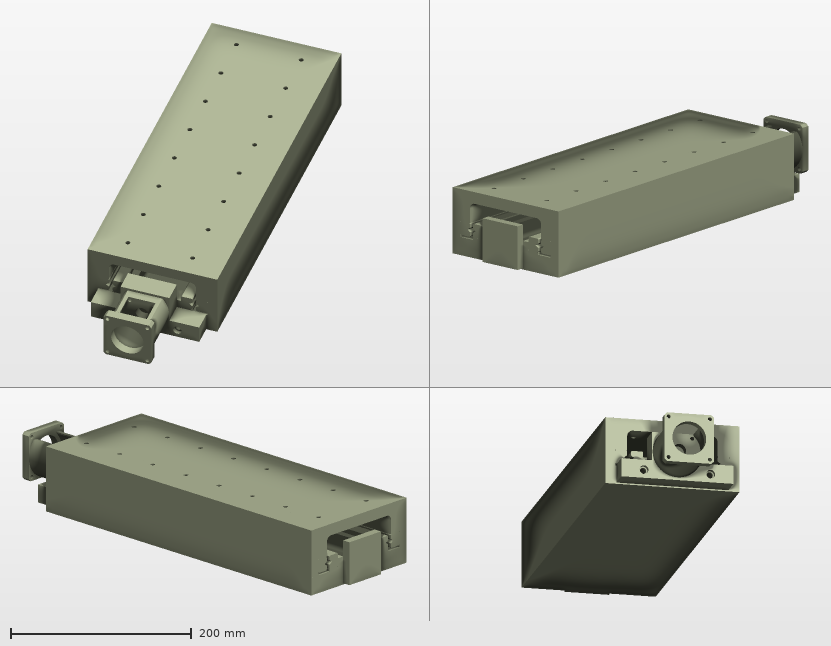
import cadquery as cq

total_length = 498.5
stage_width = 152.5
stage_height = 76.5
stage_length = 407.0
rear_block_depth = 9.5
rear_y = total_length - rear_block_depth
stage_y = rear_y - stage_length

base_height = 21.0
rail_seat_z = 23.5
spine_top_z = 33.0
trough_half_width = 25.0
trough_floor_z = 15.0
trough_fillet = 4.5

rail_top_z = 39.5
inner_rail_near_x = 33.5
inner_rail_far_x = 47.0
outer_rail_near_x = 51.5
outer_rail_far_x = 65.0
rail_mid_z = (rail_seat_z + rail_top_z) / 2
rail_groove_depth = 3.5
rail_groove_width = 5.0
rail_chamfer = 1.0

table_opening_top_z = 63.0
table_opening_fillet = 6.5
table_hole_diameter = 5.5
table_hole_rows = 8
table_hole_pitch = stage_length / table_hole_rows
table_hole_x = stage_width / 4

block_depth = 24.5
block_y = stage_y - block_depth
block_bottom_z = 1.5
foot_width = 127.5
foot_top_z = 22.5
housing_width = 57.5
housing_top_z = 55.5
foot_hole_x = 38.0
foot_hole_z = 11.0
foot_hole_diameter = 7.0
foot_counterbore_diameter = 10.0
foot_counterbore_depth = 5.0

axis_z = 33.0
flange_size = 56.5
flange_thickness = 10.0
flange_chamfer = 3.0
flange_hole_offset = 23.5
flange_hole_diameter = 4.5
barrel_flat_z = 52.5
bore_diameter = 38.5
chamber_diameter = 48.0
chamber_end_y = 48.0
window_width = 32.0
shaft_hole_diameter = 15.0
bracket_screw_offset = 14.5
bracket_screw_diameter = 4.5

rear_block_width = 50.5
rear_block_top_z = 52.0

SIDES = (-1, 1)


def box(x_min, x_max, y_min, y_max, z_min, z_max):
    """Box between two opposite corners."""
    size = (x_max - x_min, y_max - y_min, z_max - z_min)
    return cq.Workplane("XY").box(*size, centered=False).translate((x_min, y_min, z_min))


def centered_box(width, y_min, y_max, z_min, z_max):
    """Box centred on X = 0."""
    return box(-width / 2, width / 2, y_min, y_max, z_min, z_max)


def xz_plane(y):
    """Workplane at the given Y whose extrusions run toward +Y; its local axes are -X and Z."""
    return cq.Workplane(cq.Plane(origin=(0, y, 0), xDir=(-1, 0, 0), normal=(0, 1, 0)))


def cylinder(x, z, diameter, y_min, y_max):
    """Cylinder along Y."""
    return xz_plane(y_min).center(-x, z).circle(diameter / 2).extrude(y_max - y_min)


def make_base():
    slab = centered_box(stage_width, stage_y, rear_y, 0, base_height)
    seats = centered_box(2 * inner_rail_far_x, stage_y, rear_y, base_height, rail_seat_z)
    spine = centered_box(2 * inner_rail_near_x, stage_y, rear_y, rail_seat_z, spine_top_z)
    trough = centered_box(2 * trough_half_width, stage_y, rear_y, trough_floor_z, spine_top_z)
    trough = trough.edges("|Y and <Z").fillet(trough_fillet)
    return slab.union(seats).union(spine).cut(trough)


def make_table():
    table = centered_box(stage_width, stage_y, rear_y, base_height, stage_height)
    opening = centered_box(2 * outer_rail_near_x, stage_y, rear_y, base_height, table_opening_top_z)
    opening = opening.edges("|Y and >Z").fillet(table_opening_fillet)
    rail_recess = centered_box(2 * outer_rail_far_x, stage_y, rear_y, base_height, rail_top_z)
    holes = (
        cq.Workplane("XY", origin=(0, stage_y + stage_length / 2, table_opening_top_z))
        .rarray(2 * table_hole_x, table_hole_pitch, 2, table_hole_rows)
        .circle(table_hole_diameter / 2)
        .extrude(stage_height - table_opening_top_z)
    )
    return table.cut(opening).cut(rail_recess).cut(holes)


def make_rail(mount_x, groove_x):
    """Rail from its mounting face to its grooved face, with a V groove along it."""
    x_min = min(mount_x, groove_x)
    x_max = max(mount_x, groove_x)
    rail = box(x_min, x_max, stage_y, rear_y, rail_seat_z, rail_top_z)
    rail = rail.edges("|Y").chamfer(rail_chamfer)
    inward = 1 if mount_x > groove_x else -1
    groove = (
        xz_plane(stage_y)
        .moveTo(-groove_x, rail_mid_z - rail_groove_width / 2)
        .lineTo(-groove_x - inward * rail_groove_depth, rail_mid_z)
        .lineTo(-groove_x, rail_mid_z + rail_groove_width / 2)
        .close()
        .extrude(stage_length)
    )
    return rail.cut(groove)


def make_front_block():
    foot = centered_box(foot_width, block_y, stage_y, block_bottom_z, foot_top_z)
    housing = centered_box(housing_width, block_y, stage_y, foot_top_z, housing_top_z)
    block = foot.union(housing)
    for side in SIDES:
        x = side * foot_hole_x
        hole = cylinder(x, foot_hole_z, foot_hole_diameter, block_y, stage_y)
        counterbore_end_y = block_y + foot_counterbore_depth
        counterbore = cylinder(x, foot_hole_z, foot_counterbore_diameter, block_y, counterbore_end_y)
        block = block.cut(hole).cut(counterbore)
    return block


def make_motor_bracket():
    half = flange_size / 2
    flange = centered_box(flange_size, 0, flange_thickness, axis_z - half, axis_z + half)
    flange = flange.edges("|Y").chamfer(flange_chamfer)
    barrel = cylinder(0, axis_z, flange_size, flange_thickness, block_y)
    barrel = barrel.intersect(
        centered_box(flange_size, flange_thickness, block_y, axis_z - half, barrel_flat_z)
    )
    bracket = flange.union(barrel)
    bracket = bracket.cut(cylinder(0, axis_z, bore_diameter, 0, flange_thickness))
    bracket = bracket.cut(cylinder(0, axis_z, chamber_diameter, flange_thickness, chamber_end_y))
    window = centered_box(window_width, flange_thickness, chamber_end_y, axis_z, barrel_flat_z)
    bracket = bracket.cut(window)
    bracket = bracket.cut(cylinder(0, axis_z, shaft_hole_diameter, chamber_end_y, block_y))
    for side_x in SIDES:
        for side_z in SIDES:
            flange_hole = cylinder(
                side_x * flange_hole_offset,
                axis_z + side_z * flange_hole_offset,
                flange_hole_diameter,
                0,
                flange_thickness,
            )
            screw_hole = cylinder(
                side_x * bracket_screw_offset,
                axis_z + side_z * bracket_screw_offset,
                bracket_screw_diameter,
                chamber_end_y,
                block_y,
            )
            bracket = bracket.cut(flange_hole).cut(screw_hole)
    return bracket


def make_rear_block():
    return centered_box(rear_block_width, rear_y, total_length, block_bottom_z, rear_block_top_z)


base = make_base()
table = make_table()
front_block = make_front_block()
motor_bracket = make_motor_bracket()
rear_block = make_rear_block()

rails = []
for side in SIDES:
    rails.append(make_rail(side * inner_rail_near_x, side * inner_rail_far_x))
    rails.append(make_rail(side * outer_rail_far_x, side * outer_rail_near_x))

result = cq.Compound.makeCompound(
    [
        base.val(),
        table.val(),
        front_block.val(),
        motor_bracket.val(),
        rear_block.val(),
        *[rail.val() for rail in rails],
    ]
)